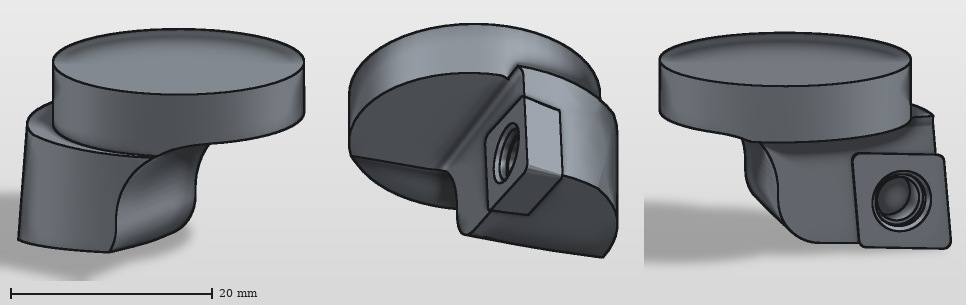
import cadquery as cq
import math


def polar(radius, angle):
    """Components of a vector of the given length, angle in degrees from the first axis."""
    return radius * math.cos(math.radians(angle)), radius * math.sin(math.radians(angle))


DISC_DIA = 25.0
LENGTH = 29.37
HEIGHT = 20.0
COLLAR_TOP = -6.37
BIG = 44.05

WALL_X = -1.47
WALL_Y = 3.03
WALL_R = 16.62
LEAN_WALL_X = -0.25
LEAN_WALL_Y = -0.18
LEAN_WALL_R = 14.75

LEAN_ANGLE = 5
END_RELIEF = 7
END_Z = -18.18

SWEEP_R = 7.93
SWEEP_TOP = -5.17
FLANK_X = 1.05
FLANK_BOTTOM = -13.92
NOSE_R = 4.7

RAKE_ANGLE = 5.7
RAKE_X = -14.85
RAKE_Y = -0.1
RAKE_FILLET_R = 1.47
ROOF_Z = -6.08
ROOF_SLOPE = 2

INSERT_SIDE = 9.65
INSERT_THICKNESS = 4.05
INSERT_CORNER_R = 0.8
INSERT_CLEARANCE = 7
INSERT_LEFT = DISC_DIA / 2 - LENGTH
INSERT_Y = 0.05
HOLE_DIA = 4.4
SEAT_DIA = 5.25
SEAT_DEPTH = 1.17
MOUTH_DIA = 6.15

INWARD = cq.Vector(*polar(1, RAKE_ANGLE), 0)
RAKE_NORMAL = cq.Vector(*polar(1, RAKE_ANGLE + 90), 0)



def insert_blank():
    """Rounded rhombic plate that narrows away from its rake side."""
    long_part, short_part = polar(INSERT_SIDE, LEAN_ANGLE)
    half_corner = 45 - LEAN_ANGLE
    tip_inset = INSERT_CORNER_R * (math.sqrt(0.5) / math.sin(math.radians(half_corner)) - 1)
    tip = cq.Vector(INSERT_LEFT, INSERT_Y, -HEIGHT)
    sharp_corner = tip - (INWARD + cq.Vector(0, 0, 1)) * tip_inset
    outline = (
        cq.Sketch()
        .polygon([
            (0, 0),
            (long_part, short_part),
            (long_part + short_part, long_part + short_part),
            (short_part, long_part),
            (0, 0),
        ])
        .vertices()
        .fillet(INSERT_CORNER_R)
    )
    frame = cq.Plane(sharp_corner, INWARD, RAKE_NORMAL * -1)
    blank = cq.Workplane(frame).placeSketch(outline).extrude(INSERT_THICKNESS, taper=INSERT_CLEARANCE)
    centre = (long_part + short_part) / 2
    return blank, cq.Workplane(frame).center(centre, centre)


def make_insert(blank, face_centre):
    """Insert with its screw hole, the wider seat for the screw head and a bevelled mouth."""
    hole = face_centre.circle(HOLE_DIA / 2).extrude(INSERT_THICKNESS)
    seat = face_centre.circle(SEAT_DIA / 2).extrude(SEAT_DEPTH)
    mouth_run = (MOUTH_DIA - SEAT_DIA) / 2
    mouth = face_centre.circle(MOUTH_DIA / 2).extrude(mouth_run, taper=45)
    return blank.cut(hole).cut(seat).cut(mouth)



def disc():
    return cq.Workplane("XY").circle(DISC_DIA / 2).extrude(COLLAR_TOP)


def collar():
    """Upright round and leaning round in common, below the shoulder."""
    depth = HEIGHT + COLLAR_TOP
    shoulder = cq.Workplane("XY").workplane(offset=COLLAR_TOP)
    upright = shoulder.center(WALL_X, WALL_Y).circle(WALL_R).extrude(-depth)
    drift = depth * math.tan(math.radians(LEAN_ANGLE))
    path = cq.Workplane("XZ", origin=(LEAN_WALL_X, LEAN_WALL_Y, COLLAR_TOP)).lineTo(-drift, -depth)
    leaning = shoulder.center(LEAN_WALL_X, LEAN_WALL_Y).circle(LEAN_WALL_R).sweep(path)
    return upright.intersect(leaning)


def below_end_face():
    """Everything under the doubly tilted end face."""
    rise_x = math.tan(math.radians(LEAN_ANGLE))
    rise_y = -math.tan(math.radians(END_RELIEF))
    end_plane = cq.Plane((0, 0, END_Z), (1, 0, rise_x), (-rise_x, -rise_y, 1))
    return cq.Workplane(end_plane).rect(2 * BIG, 2 * BIG).extrude(-BIG)


def right_chip_space():
    """Space right of the collar, with the same outline all along Y."""
    sweep_x = FLANK_X + SWEEP_R
    sweep_z = SWEEP_TOP - SWEEP_R
    sweep_mid_x, sweep_mid_z = polar(SWEEP_R, 135)
    nose_x = FLANK_X - NOSE_R
    nose_mid_x, nose_mid_z = polar(NOSE_R, -45)
    nose_end_x, nose_end_z = polar(NOSE_R, LEAN_ANGLE - 90)
    return (
        cq.Workplane("XZ")
        .moveTo(BIG, SWEEP_TOP)
        .lineTo(sweep_x, SWEEP_TOP)
        .threePointArc((sweep_x + sweep_mid_x, sweep_z + sweep_mid_z), (FLANK_X, sweep_z))
        .lineTo(FLANK_X, FLANK_BOTTOM)
        .threePointArc(
            (nose_x + nose_mid_x, FLANK_BOTTOM + nose_mid_z),
            (nose_x + nose_end_x, FLANK_BOTTOM + nose_end_z),
        )
        .lineTo(nose_x + nose_end_x, -BIG)
        .lineTo(BIG, -BIG)
        .close()
        .extrude(BIG, both=True)
    )


def rear_chip_space():
    """Space behind the rake face, under a sloping roof that blends into it."""
    slope = math.tan(math.radians(ROOF_SLOPE))
    section = cq.Plane((RAKE_X, RAKE_Y, 0), RAKE_NORMAL, INWARD)
    space = (
        cq.Workplane(section)
        .polyline([(0, -BIG), (0, ROOF_Z), (BIG, ROOF_Z + BIG * slope), (BIG, -BIG)])
        .close()
        .extrude(BIG, both=True)
    )
    corner = cq.Vector(RAKE_X, RAKE_Y, ROOF_Z)
    return space.edges(cq.NearestToPointSelector(corner.toTuple())).fillet(RAKE_FILLET_R)


def make_head(insert_pocket):
    head = disc().union(collar())
    for space in (below_end_face(), right_chip_space(), rear_chip_space(), insert_pocket):
        head = head.cut(space)
    return head


blank, face_centre = insert_blank()
insert = make_insert(blank, face_centre)
head = make_head(blank)

result = cq.Compound.makeCompound([head.solids().val(), insert.solids().val()])